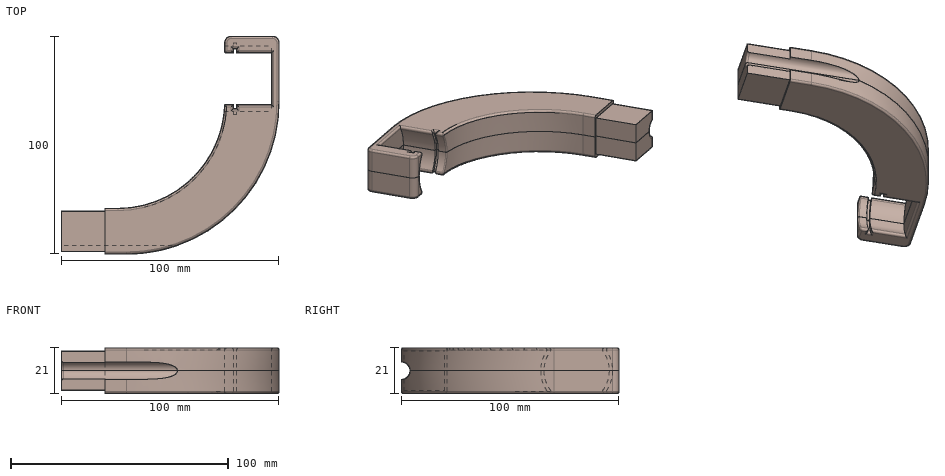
import cadquery as cq
import math


height = 21.0
overall = 100.0
arm_start_x = 20.0
start_width = 21.0
clamp_width = 25.0
bend_y = 70.0
outer_bend_radius = 70.0
clamp_corner_radius = 3.0
edge_radius = 1.0

bore_radius = 15.0
bore_y = 80.5
back_wall = 3.5
mouth_radius = 0.5

groove_radius = 16.5
groove_x = 79.0
groove_width = 1.5

plug_width = 18.6
plug_height = 18.0

channel_radius = 4.0
channel_mouth_radius = 1.0

half_height = height / 2
clamp_x = overall - clamp_width
inner_bend_radius = bend_y - start_width
outer_bend_x = overall - outer_bend_radius
inner_bend_x = clamp_x - inner_bend_radius
bore_end_x = overall - back_wall
bore_start_x = clamp_x - bore_radius


def arc_point(center, radius, angle):
    """Point on a circle at an angle in degrees."""
    turn = math.radians(angle)
    return (center[0] + radius * math.cos(turn), center[1] + radius * math.sin(turn))


def arm_blank():
    outer_middle = arc_point((outer_bend_x, bend_y), outer_bend_radius, -45)
    inner_middle = arc_point((inner_bend_x, bend_y), inner_bend_radius, -45)
    blank = (
        cq.Workplane("XY")
        .moveTo(arm_start_x, 0)
        .lineTo(outer_bend_x, 0)
        .threePointArc(outer_middle, (overall, bend_y))
        .lineTo(overall, overall)
        .lineTo(clamp_x, overall)
        .lineTo(clamp_x, bend_y)
        .threePointArc(inner_middle, (inner_bend_x, start_width))
        .lineTo(arm_start_x, start_width)
        .close()
        .extrude(half_height)
    )
    blank = blank.edges("|Z and >Y").fillet(clamp_corner_radius)
    return blank.faces(">Z").edges("not(<X)").fillet(edge_radius)


def round_void(x_start, x_end, radius):
    """Upper part of a cylinder along X that opens at the top over two rounded lips."""
    lip_z = half_height - edge_radius
    lip_y = math.sqrt((radius + edge_radius) ** 2 - lip_z**2)
    lip_turn = math.degrees(math.atan2(lip_z, lip_y))
    lip_middle_turn = (lip_turn + 180 + 90) / 2
    tangent_y, tangent_z = arc_point((0, 0), radius, lip_turn)
    wall_y, wall_z = arc_point((0, 0), radius, lip_turn / 2)
    middle_y, middle_z = arc_point((lip_y, lip_z), edge_radius, lip_middle_turn)
    return (
        cq.Workplane("YZ", origin=(x_start, bore_y, 0))
        .moveTo(-radius, 0)
        .lineTo(radius, 0)
        .threePointArc((wall_y, wall_z), (tangent_y, tangent_z))
        .threePointArc((middle_y, middle_z), (lip_y, half_height))
        .lineTo(-lip_y, half_height)
        .threePointArc((-middle_y, middle_z), (-tangent_y, tangent_z))
        .threePointArc((-wall_y, wall_z), (-radius, 0))
        .close()
        .extrude(x_end - x_start)
    )


def flared_slot(x_start, x_end):
    """Slot along Y whose two side walls flare out over rounded rims at the top."""
    flare_z = half_height - edge_radius
    left_x, left_z = arc_point((x_start - edge_radius, flare_z), edge_radius, 45)
    right_x, right_z = arc_point((x_end + edge_radius, flare_z), edge_radius, 135)
    return (
        cq.Workplane("XZ", origin=(0, overall, 0))
        .moveTo(x_start, 0)
        .lineTo(x_end, 0)
        .lineTo(x_end, flare_z)
        .threePointArc((right_x, right_z), (x_end + edge_radius, half_height))
        .lineTo(x_start - edge_radius, half_height)
        .threePointArc((left_x, left_z), (x_start, flare_z))
        .close()
        .extrude(overall)
    )


def flared_bore(x_start, x_end, radius):
    """Bore whose lips and side walls meet in mitred corners at the rim."""
    tube = round_void(x_start - edge_radius, x_end + edge_radius, radius)
    return tube.intersect(flared_slot(x_start, x_end))


def round_mouth(arm):
    """Round the two arcs where the bore breaks through the inner side of the clamp."""
    margin = edge_radius
    mouth_box = cq.selectors.BoxSelector(
        (clamp_x - margin, bore_y - bore_radius, margin),
        (clamp_x + margin, bore_y + bore_radius, half_height - 2 * margin),
    )
    return arm.edges(mouth_box).fillet(mouth_radius)


def half_arm():
    arm = arm_blank().cut(flared_bore(bore_start_x, bore_end_x, bore_radius))
    arm = round_mouth(arm)
    return arm.cut(flared_bore(groove_x, groove_x + groove_width, groove_radius))


def half_plug():
    return (
        cq.Workplane("XY")
        .center(arm_start_x / 2, start_width / 2)
        .rect(arm_start_x, plug_width)
        .extrude(plug_height / 2)
    )


def upper_half():
    """One half with its parting face at Z = 0."""
    channel = cq.Workplane("YZ").circle(channel_radius).extrude(overall)
    half = half_arm().union(half_plug()).cut(channel)
    return half.faces("<X").edges("%CIRCLE").fillet(channel_mouth_radius)


top_half = upper_half().translate((0, 0, half_height))
bottom_half = upper_half().mirror("XY").translate((0, 0, half_height))

result = cq.Compound.makeCompound([top_half.solids().val(), bottom_half.solids().val()])